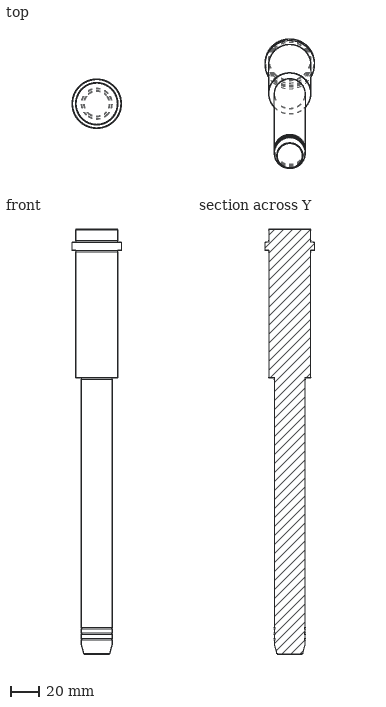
import cadquery as cq
import math

TOTAL_LENGTH = 300.0

BODY_DIAMETER = 30.0
COLLAR_DIAMETER = 35.0
HEAD_LENGTH = 9.0
COLLAR_WIDTH = 6.0
BODY_LENGTH = 90.0
HEAD_CHAMFER = 0.5
COLLAR_CHAMFER = 0.5
BODY_CHAMFER = 0.3

RELIEF_WIDTH = 1.0
RELIEF_DEPTH = 0.2

SHANK_DIAMETER = 22.0
LEAD_LENGTH = 7.0
LEAD_ANGLE = 15.0
TIP_CHAMFER = 0.5

GROOVE_COUNT = 3
GROOVE_RADIUS = 0.5
LAND_LENGTH = 3.0

top_z = TOTAL_LENGTH / 2
bottom_z = -TOTAL_LENGTH / 2
collar_top_z = top_z - HEAD_LENGTH
collar_bottom_z = collar_top_z - COLLAR_WIDTH
body_bottom_z = collar_bottom_z - BODY_LENGTH
lead_top_z = bottom_z + LEAD_LENGTH

shank_radius = SHANK_DIAMETER / 2
groove_pitch = LAND_LENGTH + 2 * GROOVE_RADIUS


def cylinder(diameter, low_z, high_z):
    """Solid cylinder on the Z axis between two levels."""
    return cq.Workplane("XY").workplane(offset=low_z).circle(diameter / 2).extrude(high_z - low_z)


def relief(diameter, low_z):
    """Shallow ring to cut from a cylinder of the given diameter."""
    high_z = low_z + RELIEF_WIDTH
    floor_diameter = diameter - 2 * RELIEF_DEPTH
    return cylinder(diameter, low_z, high_z).cut(cylinder(floor_diameter, low_z, high_z))


def make_head():
    head = cylinder(BODY_DIAMETER, collar_top_z, top_z)
    head = head.faces(">Z").edges().chamfer(HEAD_CHAMFER)
    return head.cut(relief(BODY_DIAMETER, collar_top_z))


def make_collar():
    collar = cylinder(COLLAR_DIAMETER, collar_bottom_z, collar_top_z)
    return collar.faces(">Z").edges().chamfer(COLLAR_CHAMFER)


def make_body():
    body = cylinder(BODY_DIAMETER, body_bottom_z, collar_bottom_z)
    body = body.faces("<Z").edges().chamfer(BODY_CHAMFER)
    return body.cut(relief(BODY_DIAMETER, collar_bottom_z - RELIEF_WIDTH))


def half_round_groove(centre_z):
    """Torus centred on the shank surface; its inner half cuts the groove."""
    ring = cq.Solid.makeTorus(shank_radius, GROOVE_RADIUS, cq.Vector(0, 0, centre_z), cq.Vector(0, 0, 1))
    return cq.Workplane(ring)


def make_shank():
    shank = cylinder(SHANK_DIAMETER, lead_top_z, body_bottom_z)
    shank = shank.cut(relief(SHANK_DIAMETER, body_bottom_z - RELIEF_WIDTH))
    lowest_centre_z = lead_top_z + LAND_LENGTH + GROOVE_RADIUS
    for index in range(GROOVE_COUNT):
        shank = shank.cut(half_round_groove(lowest_centre_z + index * groove_pitch))
    return shank


def make_lead():
    """Cone narrowing to the end face, with a chamfered tip edge."""
    taper_height = LEAD_LENGTH - TIP_CHAMFER
    taper_end_radius = shank_radius - taper_height * math.tan(math.radians(LEAD_ANGLE))
    profile = [
        (0, bottom_z),
        (taper_end_radius - TIP_CHAMFER, bottom_z),
        (taper_end_radius, bottom_z + TIP_CHAMFER),
        (shank_radius, lead_top_z),
        (0, lead_top_z),
    ]
    return cq.Workplane("XZ").polyline(profile).close().revolve(360, (0, 0, 0), (0, 1, 0))


result = make_head().union(make_collar()).union(make_body()).union(make_shank()).union(make_lead())